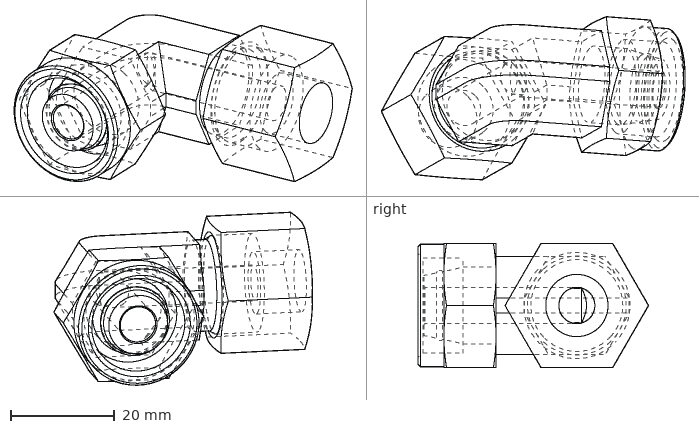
import cadquery as cq
import math


elbow_across_flats = 19.0
elbow_half_width = 10.1
outlet_leg_end = 17.0
inlet_leg_end = -15.6

bore_radius = 3.5
bore_mouth_radius = 3.75
drill_overrun = 0.95
drill_point_angle = 120

undercut_radius = 8.85
undercut_end = 19.75
thread_radius = 9.55
runout_angle = 30
spigot_end = 29.0

neck_radius = 7.4
nipple_tip = -29.55
nipple_tip_radius = 5.8
nipple_half_angle = 12
seal_radius = 6.8
seal_section_radius = 0.75
seal_setback = 3.1

nut_across_flats = 24.0
nut_chamfer_angle = 15
tube_nut_start = 20.5
tube_nut_end = 38.0
tube_nut_mouth_radius = 10.25
tube_nut_mouth_angle = 120
tube_radius = 6.0
swivel_hex_end = -25.65
swivel_nut_end = -30.7
collar_radius = 11.9
collar_chamfer = 0.5
swivel_bore_radius = 9.2
swivel_mouth_radius = 10.05
swivel_mouth_depth = 1.05

elbow_half_height = elbow_across_flats / 2
hexagon_half_angle = math.radians(30)
elbow_corner = elbow_half_height / math.cos(hexagon_half_angle)
top_half_width = elbow_corner / 2
side_half_height = (elbow_corner - elbow_half_width) / math.tan(hexagon_half_angle)
drill_point_height = bore_radius / math.tan(math.radians(drill_point_angle / 2))
bore_mouth_depth = bore_mouth_radius - bore_radius
nipple_taper = math.tan(math.radians(nipple_half_angle))
nipple_base = nipple_tip + (neck_radius - nipple_tip_radius) / nipple_taper
runout_end = undercut_end + (thread_radius - undercut_radius) / math.tan(math.radians(runout_angle))
tube_nut_mouth_depth = (
    (tube_nut_mouth_radius - thread_radius) / math.tan(math.radians(tube_nut_mouth_angle / 2))
)
nut_corner = nut_across_flats / 2 / math.cos(hexagon_half_angle)
nut_chamfer_depth = (nut_corner - nut_across_flats / 2) * math.tan(math.radians(nut_chamfer_angle))


def turned_about_x(profile):
    """Revolve (x, radius) points about the X axis."""
    return cq.Workplane("XY").polyline(profile).close().revolve(360, (0, 0, 0), (1, 0, 0))


def turned_about_y(profile):
    """Revolve (y, radius) points about the Y axis."""
    points = [(radius, y) for y, radius in profile]
    return cq.Workplane("XY").polyline(points).close().revolve(360, (0, 0, 0), (0, 1, 0))


def chamfered_hexagon(length):
    """Hexagonal bar from the origin along +X, two corners at +Y and -Y, both ends chamfered."""
    bar = cq.Workplane("YZ").polygon(6, 2 * nut_corner).extrude(length)
    envelope = turned_about_x([
        (0, 0),
        (0, nut_across_flats / 2),
        (nut_chamfer_depth, nut_corner),
        (length - nut_chamfer_depth, nut_corner),
        (length, nut_across_flats / 2),
        (length, 0),
    ])
    return bar.intersect(envelope)


def leg_section(workplane):
    """Hexagon section of a leg with its two side corners cut flat."""
    half_outline = [
        (top_half_width, elbow_half_height),
        (elbow_half_width, side_half_height),
        (elbow_half_width, -side_half_height),
        (top_half_width, -elbow_half_height),
    ]
    opposite = [(-across, -up) for across, up in half_outline]
    return workplane.polyline(half_outline + opposite).close()


def rounded_heel():
    """Leg section revolved about Z: the round outer corner of the elbow."""
    outline = [
        (0, elbow_half_height),
        (top_half_width, elbow_half_height),
        (elbow_half_width, side_half_height),
        (elbow_half_width, -side_half_height),
        (top_half_width, -elbow_half_height),
        (0, -elbow_half_height),
    ]
    return cq.Workplane("XZ").polyline(outline).close().revolve(360, (0, 0, 0), (0, 1, 0))


def threaded_spigot():
    """Undercut and thread cylinder that enter the tube nut."""
    return turned_about_x([
        (0, 0),
        (0, undercut_radius),
        (undercut_end, undercut_radius),
        (runout_end, thread_radius),
        (spigot_end, thread_radius),
        (spigot_end, 0),
    ])


def sealing_nipple():
    """Neck through the swivel nut, then a tapered nose with a round sealing bead."""
    nose = turned_about_y([
        (0, 0),
        (0, neck_radius),
        (nipple_base, neck_radius),
        (nipple_tip, nipple_tip_radius),
        (nipple_tip, 0),
    ])
    bead = (
        cq.Workplane("XY")
        .moveTo(seal_radius - seal_section_radius, nipple_tip + seal_setback)
        .circle(seal_section_radius)
        .revolve(360, (0, 0, 0), (0, 1, 0))
    )
    return nose.union(bead)


def outlet_bore():
    """Drilling along X, open at the spigot end, with a conical blind end."""
    return turned_about_x([
        (spigot_end, 0),
        (spigot_end, bore_radius),
        (-drill_overrun, bore_radius),
        (-drill_overrun - drill_point_height, 0),
    ])


def inlet_bore():
    """Drilling along Y with a chamfered mouth and a conical blind end."""
    return turned_about_y([
        (nipple_tip, 0),
        (nipple_tip, bore_mouth_radius),
        (nipple_tip + bore_mouth_depth, bore_radius),
        (drill_overrun, bore_radius),
        (drill_overrun + drill_point_height, 0),
    ])


def make_elbow():
    outlet_leg = leg_section(cq.Workplane("YZ")).extrude(outlet_leg_end)
    inlet_leg = leg_section(cq.Workplane("XZ")).extrude(-inlet_leg_end)
    solid = outlet_leg.union(inlet_leg).union(rounded_heel())
    solid = solid.union(threaded_spigot()).union(sealing_nipple())
    return solid.cut(outlet_bore()).cut(inlet_bore())


def make_tube_nut():
    """Hexagon nut on the +X spigot with a tube hole in its end wall."""
    hexagon = chamfered_hexagon(tube_nut_end - tube_nut_start).translate((tube_nut_start, 0, 0))
    cavity = turned_about_x([
        (tube_nut_start, 0),
        (tube_nut_start, tube_nut_mouth_radius),
        (tube_nut_start + tube_nut_mouth_depth, thread_radius),
        (spigot_end, thread_radius),
        (spigot_end, tube_radius),
        (tube_nut_end, tube_radius),
        (tube_nut_end, 0),
    ])
    return hexagon.cut(cavity)


def make_swivel_nut():
    """Hexagon nut with a round collar, free to turn on the nipple's neck."""
    hexagon = (
        chamfered_hexagon(inlet_leg_end - swivel_hex_end)
        .rotate((0, 0, 0), (0, 0, 1), -90)
        .translate((0, inlet_leg_end, 0))
    )
    collar = turned_about_y([
        (swivel_hex_end, 0),
        (swivel_hex_end, collar_radius),
        (swivel_nut_end + collar_chamfer, collar_radius),
        (swivel_nut_end, collar_radius - collar_chamfer),
        (swivel_nut_end, 0),
    ])
    cavity = turned_about_y([
        (inlet_leg_end, 0),
        (inlet_leg_end, neck_radius),
        (nipple_base, neck_radius),
        (nipple_base, swivel_bore_radius),
        (swivel_nut_end + swivel_mouth_depth, swivel_bore_radius),
        (swivel_nut_end, swivel_mouth_radius),
        (swivel_nut_end, 0),
    ])
    return hexagon.union(collar).cut(cavity)


elbow = make_elbow()
tube_nut = make_tube_nut()
swivel_nut = make_swivel_nut()

result = cq.Compound.makeCompound([
    elbow.solids().val(),
    tube_nut.solids().val(),
    swivel_nut.solids().val(),
])